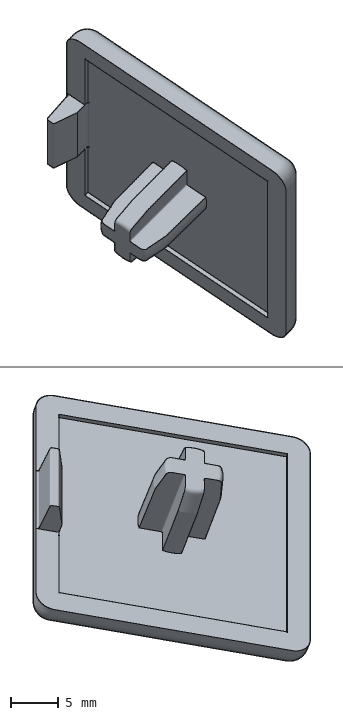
import cadquery as cq

side = 30
rim_height = 1.0
dome_radius = 2.0
plate_thickness = rim_height + dome_radius
stem_length = 9
back_y = stem_length + plate_thickness
face_y = stem_length

recess_side = 25.0
recess_depth = 0.5
floor_y = face_y + recess_depth

stem_radius = 3.75
arm_width = 2.07
arm_root_fillet = 0.18
shank_length = 6
mid_radius = 3.7
tip_radius = 3.12
tip_rounding = 0.5

clip_width = 8.1
clip_length = 4.0
clip_outer = 0.3
clip_tip_outer = 0.55
clip_tip_inner = 1.5
clip_inner = (side - recess_side) / 2
clip_straight_length = 1.25
clip_tip_fillet = 0.2
clip_root_fillet = 0.2


def make_plate():
    outline = cq.Workplane("XZ", origin=(0, back_y, 0)).rect(side, side)
    plate = outline.extrude(plate_thickness).edges("|Y").fillet(dome_radius)
    plate = plate.faces(">Y").edges().fillet(dome_radius)
    recess = cq.Workplane("XZ", origin=(0, floor_y, 0)).rect(recess_side, recess_side)
    return plate.cut(recess.extrude(recess_depth))


def make_stem():
    length = floor_y
    reach = 2 * stem_radius
    base = cq.Workplane("XZ", origin=(0, floor_y, 0))
    cross = base.rect(reach, arm_width).extrude(length)
    cross = cross.union(base.rect(arm_width, reach).extrude(length))
    inner_corners = cq.selectors.BoxSelector(
        (-arm_width, 0, -arm_width), (arm_width, floor_y, arm_width)
    )
    cross = cross.edges("|Y").edges(inner_corners).fillet(arm_root_fillet)
    envelope = (
        cq.Workplane("XY")
        .moveTo(0, 0)
        .lineTo(tip_radius, 0)
        .lineTo(mid_radius, stem_length - shank_length)
        .lineTo(stem_radius, floor_y)
        .lineTo(0, floor_y)
        .close()
        .revolve(360, (0, 0), (0, 1))
        .faces("<Y")
        .edges()
        .fillet(tip_rounding)
    )
    return cross.intersect(envelope)


def make_clip():
    tip_y = face_y - clip_length
    clip = (
        cq.Workplane("XY", origin=(-side / 2, 0, -clip_width / 2))
        .moveTo(clip_outer - clip_root_fillet, floor_y)
        .lineTo(clip_outer - clip_root_fillet, face_y)
        .radiusArc((clip_outer, face_y - clip_root_fillet), clip_root_fillet)
        .lineTo(clip_tip_outer, tip_y)
        .lineTo(clip_tip_inner, tip_y)
        .lineTo(clip_inner, face_y - clip_straight_length)
        .lineTo(clip_inner, floor_y - clip_root_fillet)
        .radiusArc((clip_inner + clip_root_fillet, floor_y), clip_root_fillet)
        .close()
        .extrude(clip_width)
    )
    return clip.faces("<Y").edges("|Z").fillet(clip_tip_fillet)


result = make_plate().union(make_stem()).union(make_clip())